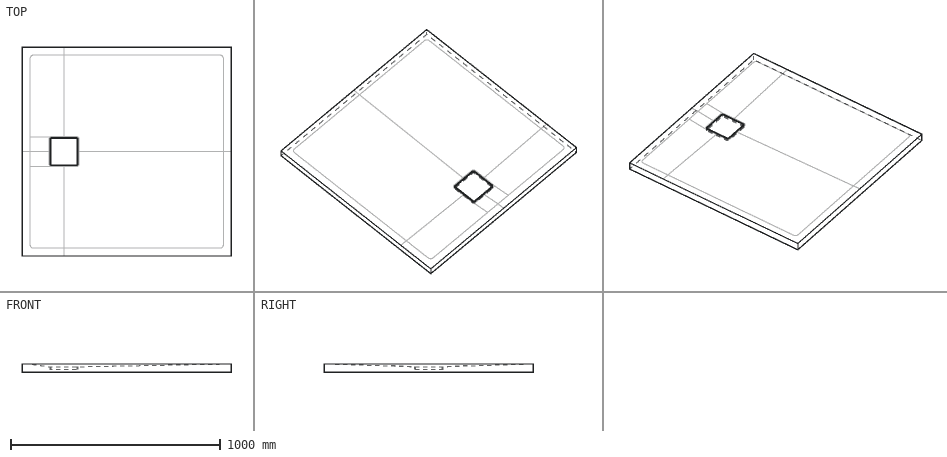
import cadquery as cq
import math

tray_side = 1000
tray_height = 39.98
half_side = tray_side / 2

rim_width = 38
rim_fall = 1
floor_half = half_side - rim_width
floor_corner_radius = 16
floor_edge_z = tray_height - rim_fall

drain_x = -300
drain_half = 72
drain_corner_radius = 14
floor_fall = 13
drain_z = floor_edge_z - floor_fall

lip_width = 5
pocket_half = drain_half - lip_width
pocket_corner_radius = drain_corner_radius - lip_width
pocket_depth = 12

fold_angle = 65

cover_gap = 4
cover_side = 2 * (pocket_half - cover_gap)

patch_degree = 2


def line(start, end):
    return cq.Edge.makeLine(start, end)


def patch(edges):
    """One smooth face filling a closed loop of edges, given in order."""
    return cq.Face.makeNSidedSurface(edges, [], degree=patch_degree)


def corner_path(center_x, half, radius, z, side):
    """Quarter outline of a rounded square, from Y = 0 round its corner on the +Y side to X = drain_x.

    side is -1 for the corner towards -X and 1 for the corner towards +X.
    The corner is two arcs that meet at the fold angle.
    """
    arc_x = center_x + side * (half - radius)
    arc_y = half - radius

    def on_corner(angle):
        turn = math.radians(angle)
        return cq.Vector(arc_x + side * radius * math.cos(turn), arc_y + radius * math.sin(turn), z)

    def arc(first, last):
        middle = (first + last) / 2
        return cq.Edge.makeThreePointArc(on_corner(first), on_corner(middle), on_corner(last))

    return [
        line(cq.Vector(center_x + side * half, 0, z), on_corner(0)),
        arc(0, fold_angle),
        arc(fold_angle, 90),
        line(on_corner(90), cq.Vector(drain_x, half, z)),
    ]


def rim_face(floor_edge, side):
    """Quarter of the rim, from the square outside of the tray to the floor."""
    outer_start = cq.Vector(side * half_side, 0, tray_height)
    outer_corner = cq.Vector(side * half_side, half_side, tray_height)
    outer_end = cq.Vector(drain_x, half_side, tray_height)
    return patch([
        line(outer_start, outer_corner),
        line(outer_corner, outer_end),
        line(outer_end, floor_edge[-1].endPoint()),
        *reversed(floor_edge),
        line(floor_edge[0].startPoint(), outer_start),
    ])


def floor_faces(floor_edge, drain_edge, has_fold):
    """Quarter of the sloping floor, in one face or in two that meet at a fold."""
    floor_start = floor_edge[0].startPoint()
    start_seam = line(floor_start, drain_edge[0].startPoint())
    end_seam = line(floor_edge[-1].endPoint(), drain_edge[-1].endPoint())
    if not has_fold:
        return [patch([*floor_edge, end_seam, *reversed(drain_edge), start_seam])]

    first_line, *floor_rest = floor_edge
    flat_side, first_arc, second_arc, drain_end = drain_edge
    fold_low = first_arc.endPoint()
    fold_high = cq.Vector(floor_start.x, fold_low.y, floor_edge_z)
    fold = line(fold_high, fold_low)
    strip = [line(floor_start, fold_high), fold, first_arc, flat_side, start_seam]
    corner = [line(fold_high, first_line.endPoint()), *floor_rest, end_seam, drain_end, second_arc, fold]
    return [patch(strip), patch(corner)]


def make_tray():
    half_faces = []
    half_drain_edge = []
    for side in (-1, 1):
        floor_edge = corner_path(0, floor_half, floor_corner_radius, floor_edge_z, side)
        drain_edge = corner_path(drain_x, drain_half, drain_corner_radius, drain_z, side)
        half_faces.append(rim_face(floor_edge, side))
        half_faces += floor_faces(floor_edge, drain_edge, has_fold=side < 0)
        half_drain_edge += drain_edge

    top_faces = half_faces + [face.mirror("XZ") for face in half_faces]
    drain_outline = half_drain_edge + [edge.mirror("XZ") for edge in half_drain_edge]
    drain_face = cq.Face.makeFromWires(cq.Wire.combine(drain_outline)[0])

    block = cq.Workplane("XY").box(tray_side, tray_side, tray_height, centered=(True, True, False))
    block_faces = block.faces("not >Z").vals()
    shell = cq.Shell.makeShell([*top_faces, drain_face, *block_faces])

    pocket = (
        cq.Workplane("XY", origin=(drain_x, 0, drain_z))
        .rect(2 * pocket_half, 2 * pocket_half)
        .extrude(-pocket_depth)
        .edges("|Z")
        .fillet(pocket_corner_radius)
    )
    return cq.Workplane(cq.Solid.makeSolid(shell)).cut(pocket).solids()


def make_cover():
    return (
        cq.Workplane("XY", origin=(drain_x, 0, drain_z))
        .rect(cover_side, cover_side)
        .extrude(-pocket_depth)
    )


tray = make_tray()
cover = make_cover()
result = cq.Compound.makeCompound([tray.val(), cover.val()])